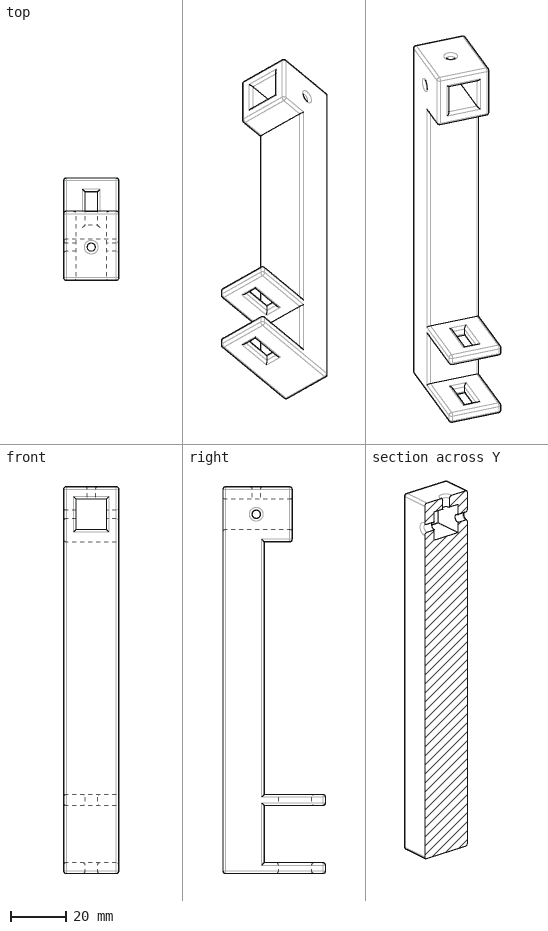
import cadquery as cq

WIDTH = 20.0
DEPTH = 37.0
HEIGHT = 139.6

HEAD_DEPTH = 25.0
HEAD_HEIGHT = 20.0
COLUMN_DEPTH = 15.0
ARM_THICKNESS = 4.0
ARM_PITCH = 24.5

WINDOW_SIZE = 10.9
HOLE_DIAMETER = 3.0
HOLE_Y = 12.0
SLOT_WIDTH = 4.5
SLOT_MARGIN = 5.0

EDGE_RADIUS = 1.0

HEAD_CENTER_Z = HEIGHT - HEAD_HEIGHT / 2
HEAD_BOTTOM = HEIGHT - HEAD_HEIGHT
ARM_LENGTH = DEPTH - COLUMN_DEPTH
UPPER_ARM_TOP = ARM_PITCH + ARM_THICKNESS


def make_body():
    """Column with a deep head and two arms, extruded across the width."""
    profile = [
        (0, 0),
        (DEPTH, 0),
        (DEPTH, ARM_THICKNESS),
        (COLUMN_DEPTH, ARM_THICKNESS),
        (COLUMN_DEPTH, ARM_PITCH),
        (DEPTH, ARM_PITCH),
        (DEPTH, UPPER_ARM_TOP),
        (COLUMN_DEPTH, UPPER_ARM_TOP),
        (COLUMN_DEPTH, HEAD_BOTTOM),
        (HEAD_DEPTH, HEAD_BOTTOM),
        (HEAD_DEPTH, HEIGHT),
        (0, HEIGHT),
    ]
    return cq.Workplane("YZ").polyline(profile).close().extrude(WIDTH / 2, both=True)


def make_window():
    """Square passage through the head from front to back."""
    return (
        cq.Workplane("XY", origin=(0, HEAD_DEPTH / 2, HEAD_CENTER_Z))
        .box(WINDOW_SIZE, HEAD_DEPTH, WINDOW_SIZE)
    )


def make_top_hole():
    """Round hole from the top face down into the window."""
    return (
        cq.Workplane("XY", origin=(0, HOLE_Y, HEAD_CENTER_Z))
        .circle(HOLE_DIAMETER / 2)
        .extrude(HEAD_HEIGHT / 2)
    )


def make_side_hole():
    """Round hole through both side walls of the head."""
    return (
        cq.Workplane("YZ", origin=(0, HOLE_Y, HEAD_CENTER_Z))
        .circle(HOLE_DIAMETER / 2)
        .extrude(WIDTH / 2, both=True)
    )


def make_slots():
    """One slot through both arms, centred along the arm length."""
    slot_length = ARM_LENGTH - 2 * SLOT_MARGIN
    return (
        cq.Workplane("XY", origin=(0, COLUMN_DEPTH + ARM_LENGTH / 2, 0))
        .rect(SLOT_WIDTH, slot_length)
        .extrude(UPPER_ARM_TOP)
    )


def round_outer_edges(solid):
    """Round every outside edge; the inside corners lie on the column's back face and stay sharp."""
    side_edges = solid.faces("<X or >X").edges()
    corner_edges = solid.edges("|X").filter(
        lambda edge: abs(edge.Center().y - COLUMN_DEPTH) > EDGE_RADIUS
    )
    return side_edges.add(corner_edges).fillet(EDGE_RADIUS)


def round_rims(solid, faces):
    """Round the rims of all openings found in the given faces."""
    rims = [edge for face in faces.vals() for wire in face.innerWires() for edge in wire.Edges()]
    return solid.newObject(rims).fillet(EDGE_RADIUS)


body = round_outer_edges(make_body())
body = body.cut(make_window()).cut(make_slots())
body = round_rims(body, body.faces("|Y or |Z"))
body = body.cut(make_top_hole()).cut(make_side_hole())
result = round_rims(body, body.faces("<X or >X or >Z"))